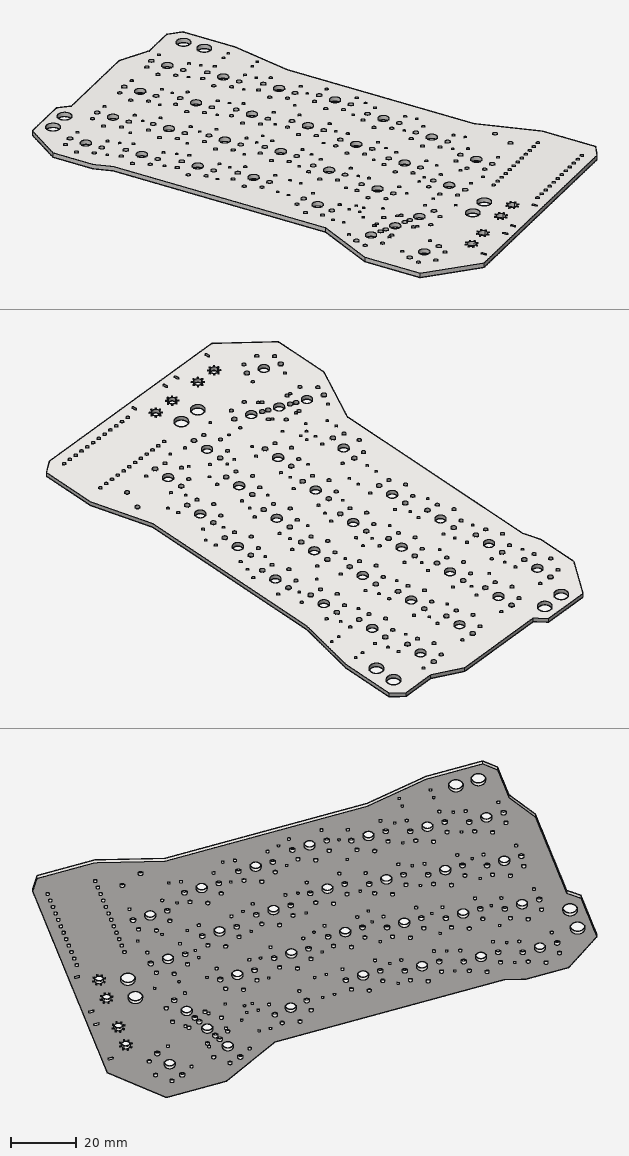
import cadquery as cq
import math

THICKNESS = 1.6
BOARD_WIDTH = 157.0
BOARD_HEIGHT = 90.0
RIGHT = BOARD_WIDTH / 2
LEFT = -RIGHT
TOP = BOARD_HEIGHT / 2
BOTTOM = -TOP

SWITCH_CENTRE_DRILL = 3.43
SWITCH_SIDE_DRILL = 1.7
SWITCH_PIN_DRILL = 1.27
SWITCH_CLIP_DRILL = 0.99
DIODE_DRILL = 0.8
HEADER_DRILL = 1.09
JUMPER_DRILL = 0.8
RESET_DRILL = 1.5
SPACER_DRILL = 4.5
MOUNT_DRILL = 2.8
MOUNT_VIA_DRILL = 0.4

SLOT_LENGTH = 1.7
SLOT_WIDTH = 0.7

SIDE_OFFSET = 5.5
CENTRE_PIN_Y = -5.9
OUTER_PIN_X, OUTER_PIN_Y = 5.0, -3.8
CLIP_X, CLIP_Y = 5.22, 4.2

KEY_PITCH_X = 18.06
KEY_PITCH_Y = 17.08
STAGGER = 2.38
FIRST_KEY_X = -60.84
FIRST_KEY_Y = 23.38
COLUMN_STAGGER_STEPS = (0, 1, 2, 3, 2, 1, -1)
COLUMN_ROWS = (4, 4, 4, 4, 3, 3, 2)

THUMB_ANGLE = 65.0
THUMB_MID = (44.48, -24.53)
THUMB_STEP = 9.07
INNER_THUMB = (17.96, -25.14, -10.0)
OUTER_THUMB = (59.49, -33.5, THUMB_ANGLE)

DIODE_SPAN = 7.8
VERTICAL = 90.0
DIODES = (
    (-51.95, 24.5, VERTICAL),
    (-51.85, 6.25, VERTICAL),
    (-51.85, -12.25, VERTICAL),
    (-51.85, -26.8, VERTICAL),
    (-33.8, 26.3, VERTICAL),
    (-33.8, 9.5, VERTICAL),
    (-33.8, -9.3, VERTICAL),
    (-33.6, -24.0, VERTICAL),
    (-15.8, 25.75, VERTICAL),
    (-15.8, 5.5, VERTICAL),
    (-15.6, -6.5, VERTICAL),
    (-15.8, -22.95, VERTICAL),
    (2.35, 29.45, VERTICAL),
    (2.35, 10.8, VERTICAL),
    (2.35, -4.55, VERTICAL),
    (3.8, -20.7, VERTICAL),
    (7.55, -20.7, VERTICAL),
    (20.35, 29.0, VERTICAL),
    (20.35, 9.6, VERTICAL),
    (20.8, -8.6, VERTICAL),
    (38.3, 26.8, VERTICAL),
    (38.65, 8.2, VERTICAL),
    (38.5, -2.5, VERTICAL),
    (50.25, 13.15, 0.0),
    (50.95, -5.2, 0.0),
    (26.95, -26.75, 80.0),
    (30.5, -26.47, 80.0),
    (35.0, -21.2, 69.0),
)

HEADER_PINS = 12
HEADER_PITCH = 2.54
HEADER_TOP_Y = 38.45
HEADER_LEFT_X = 59.26
HEADER_ROW_SPACING = 15.24
HEADER_COLUMNS_X = (HEADER_LEFT_X, HEADER_LEFT_X + HEADER_ROW_SPACING)

JUMPERS = (
    (-48.0, 38.45),
    (-48.0, 35.45),
    (-38.0, 38.45),
    (-38.0, 35.45),
    (28.55, -20.0),
    (31.05, -20.0),
)
RESET_PINS = ((45.35, 36.75), (52.0, 34.3))

SPACER_SPAN = 7.2
SPACER_PAIRS = (
    (-59.4, 37.5, 0.0),
    (-74.0, -20.97, VERTICAL),
    (61.5, -3.02, VERTICAL),
)

MOUNT_X = 69.85
MOUNT_YS = (3.1, -4.1, -15.4, -22.5)
VIA_COUNT = 8
VIA_RING_RADIUS = 1.85

SLOT_X = 75.85
SLOT_YS = (6.3, -7.3, -12.3, -25.8)

UPPER_EDGE = 38.8
UPPER_LEFT_EDGE = 42.7
LOWER_EDGE = -35.8
LOWER_LEFT_EDGE = -37.7
LEFT_EDGE = -75.0
UPPER_LEFT_SIDE = -69.7
OUTLINE = (
    (-66.1, UPPER_LEFT_EDGE),
    (-48.0, UPPER_LEFT_EDGE),
    (-27.8, UPPER_EDGE),
    (36.9, UPPER_EDGE),
    (57.2, TOP),
    (75.7, TOP),
    (RIGHT, 40.8),
    (RIGHT, -30.5),
    (64.4, BOTTOM),
    (45.2, BOTTOM),
    (26.6, LOWER_EDGE),
    (-47.0, LOWER_EDGE),
    (-52.9, LOWER_LEFT_EDGE),
    (-66.8, LOWER_LEFT_EDGE),
    (LEFT, -29.5),
    (LEFT, -14.3),
    (LEFT_EDGE, -11.2),
    (LEFT_EDGE, 18.8),
    (UPPER_LEFT_SIDE, 28.2),
    (UPPER_LEFT_SIDE, 39.1),
)


def place(points, x, y, angle):
    """Rotate points about the origin, then move them to (x, y)."""
    c = math.cos(math.radians(angle))
    s = math.sin(math.radians(angle))
    return [(x + px * c - py * s, y + px * s + py * c) for px, py in points]


def pair(span, x, y, angle):
    """Two points a span apart, centred on (x, y)."""
    return place([(-span / 2, 0), (span / 2, 0)], x, y, angle)


def all_keys():
    """Position and rotation of every switch."""
    keys = []
    for column, (steps, rows) in enumerate(zip(COLUMN_STAGGER_STEPS, COLUMN_ROWS)):
        for row in range(rows):
            x = FIRST_KEY_X + column * KEY_PITCH_X
            y = FIRST_KEY_Y + steps * STAGGER - row * KEY_PITCH_Y
            keys.append((x, y, 0.0))
    flipped_angle = THUMB_ANGLE + 180
    lower, upper = pair(2 * THUMB_STEP, *THUMB_MID, THUMB_ANGLE)
    keys.append((*lower, THUMB_ANGLE))
    keys.append((*upper, THUMB_ANGLE))
    keys.append((*THUMB_MID, flipped_angle))
    keys.append(INNER_THUMB)
    keys.append(OUTER_THUMB)
    return keys


def drill(board, points, diameter):
    """Add round holes of one diameter at the given points."""
    return board.pushPoints(points).circle(diameter / 2)


def switch_holes(board):
    sides = [(-SIDE_OFFSET, 0), (SIDE_OFFSET, 0)]
    pins = [(0, CENTRE_PIN_Y), (-OUTER_PIN_X, OUTER_PIN_Y), (OUTER_PIN_X, OUTER_PIN_Y)]
    clips = [(-CLIP_X, CLIP_Y), (CLIP_X, CLIP_Y)]
    for key in all_keys():
        board = drill(board, [key[:2]], SWITCH_CENTRE_DRILL)
        board = drill(board, place(sides, *key), SWITCH_SIDE_DRILL)
        board = drill(board, place(pins, *key), SWITCH_PIN_DRILL)
        board = drill(board, place(clips, *key), SWITCH_CLIP_DRILL)
    return board


def diode_holes(board):
    for diode in DIODES:
        board = drill(board, pair(DIODE_SPAN, *diode), DIODE_DRILL)
    return board


def header_holes(board):
    for x in HEADER_COLUMNS_X:
        column = [(x, HEADER_TOP_Y - i * HEADER_PITCH) for i in range(HEADER_PINS)]
        board = drill(board, column, HEADER_DRILL)
    return board


def spacer_holes(board):
    for spacers in SPACER_PAIRS:
        board = drill(board, pair(SPACER_SPAN, *spacers), SPACER_DRILL)
    return board


def mount_holes(board):
    for y in MOUNT_YS:
        board = drill(board, [(MOUNT_X, y)], MOUNT_DRILL)
        for i in range(VIA_COUNT):
            via = place([(VIA_RING_RADIUS, 0)], MOUNT_X, y, i * 360 / VIA_COUNT)
            board = drill(board, via, MOUNT_VIA_DRILL)
    return board


def jack_slots(board):
    return board.pushPoints([(SLOT_X, y) for y in SLOT_YS]).slot2D(SLOT_LENGTH, SLOT_WIDTH)


board = cq.Workplane("XY").polyline(OUTLINE).close()
board = switch_holes(board)
board = diode_holes(board)
board = header_holes(board)
board = spacer_holes(board)
board = mount_holes(board)
board = jack_slots(board)
board = drill(board, JUMPERS, JUMPER_DRILL)
board = drill(board, RESET_PINS, RESET_DRILL)
result = board.extrude(THICKNESS)